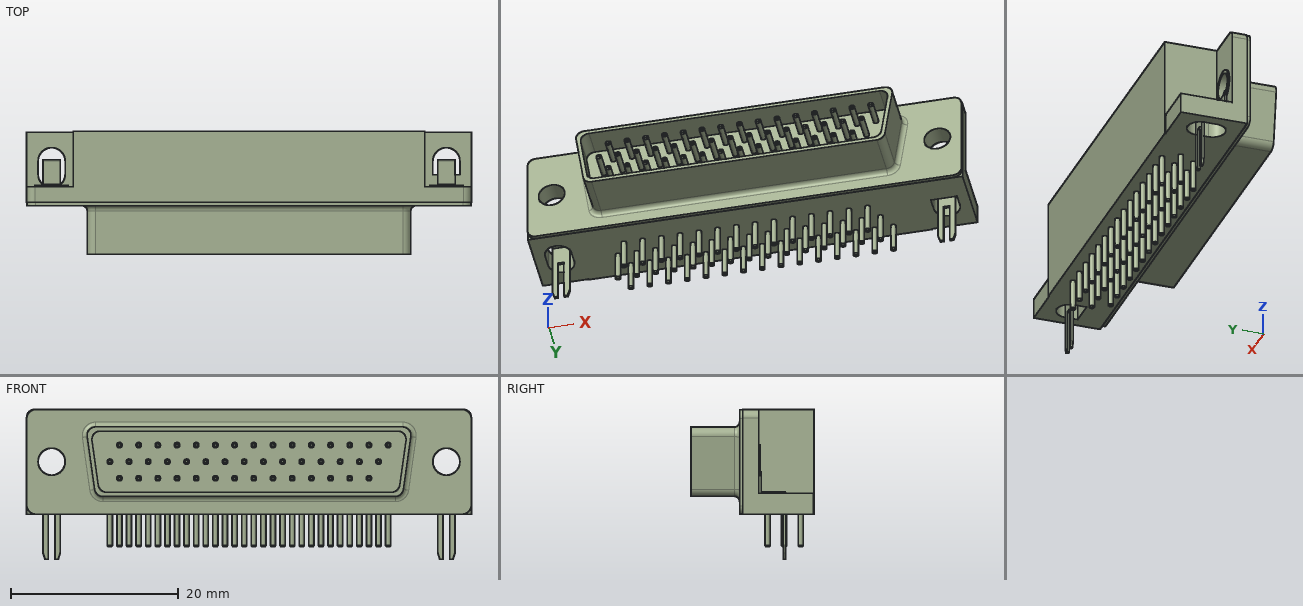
import cadquery as cq
import math


select_margin = 0.01

width = 53.1
height = 12.55
sheet_thickness = 0.4
sheet_inset = 0.05
corner_radius = 1.0
wall_back = 2.3
block_back = 8.9
ear_back = 8.8
block_width = 42.0
ear_height = 2.56

hole_x = 23.55
hole_z = 6.3
hole_diameter = 3.2

slot_width = 3.2
slot_back = 6.92
left_slot_front = 2.16
right_slot_front = 3.72

shell_length = 5.8
shell_height = 8.3
shell_top_half_width = 19.47
shell_side_angle = 8.0
shell_corner_radius = 1.0
shell_wall = 0.5
shell_floor_y = -2.4
shell_base_fillet = 0.6

pin_diameter = 0.64
pin_pitch = 2.29
row_pitch = 1.98
pin_chamfer = 0.15
pin_tip_y = -5.6
tail_tip_z = -3.85
tail_middle_y = 5.33
embed = 1.0
row_counts = (15, 15, 14)
row_shift = pin_pitch / 4
first_pin_x = row_shift - (row_counts[0] - 1) / 2 * pin_pitch

lock_sheet = 0.3
lock_width = 2.1
tine_gap = 0.75
tine_tip_z = -5.35
tine_chamfer_x = 0.25
tine_chamfer_z = 0.8
lock_back = 5.5
lock_rise = 0.15
collar_diameter = 4.0
collar_thickness = 0.16


def box(x0, x1, y0, y1, z0, z1):
    return cq.Workplane("XY").box(x1 - x0, y1 - y0, z1 - z0, centered=False).translate((x0, y0, z0))


def cylinder_y(x, z, diameter, y0, y1):
    solid = cq.Solid.makeCylinder(diameter / 2, y1 - y0, cq.Vector(x, y0, z), cq.Vector(0, 1, 0))
    return cq.Workplane(obj=solid)


def make_housing():
    half = width / 2
    wall = box(-half, half, sheet_thickness, wall_back, 0, height)
    wall = wall.edges("|Y and >Z").fillet(corner_radius)
    block = box(-block_width / 2, block_width / 2, sheet_thickness, block_back, 0, height)
    ears = box(-half, half, sheet_thickness, ear_back, 0, ear_height)
    edge = half - sheet_inset
    sheet = box(-edge, edge, 0, sheet_thickness, sheet_inset, height - sheet_inset)
    sheet = sheet.edges("|Y").fillet(corner_radius)
    return wall.union(block).union(ears).union(sheet)


def make_slot(x, front, round_front):
    """Cutter for an ear slot with a round back end and a round or square front end."""
    radius = slot_width / 2
    back_centre = slot_back - radius
    front_centre = front + radius if round_front else front
    slot = box(x - radius, x + radius, front_centre, back_centre, 0, ear_height)
    centres = (front_centre, back_centre) if round_front else (back_centre,)
    for y in centres:
        slot = slot.union(cq.Workplane("XY").center(x, y).circle(radius).extrude(ear_height))
    return slot


def shell_prism(inset, y0, y1):
    """Rounded D outline, moved inwards by inset, extruded from y0 to y1."""
    angle = math.radians(shell_side_angle)
    half_height = shell_height / 2 - inset
    side_shift = inset / math.cos(angle)
    mid_half_width = shell_top_half_width - shell_height / 2 * math.tan(angle) - side_shift
    top = mid_half_width + half_height * math.tan(angle)
    bottom = mid_half_width - half_height * math.tan(angle)
    outline = [(-top, half_height), (top, half_height), (bottom, -half_height), (-bottom, -half_height)]
    prism = cq.Workplane("XZ", origin=(0, y1, hole_z)).polyline(outline).close().extrude(y1 - y0)
    return prism.edges("|Y").fillet(shell_corner_radius)


def add_shell(body):
    body = body.union(shell_prism(0, -shell_length, sheet_thickness / 2))
    margin = 2 * shell_base_fillet
    half = shell_top_half_width + margin
    low = hole_z - shell_height / 2 - margin
    high = hole_z + shell_height / 2 + margin
    near_corner = (-half, -select_margin, low)
    far_corner = (half, select_margin, high)
    base = cq.selectors.BoxSelector(near_corner, far_corner, boundingbox=True)
    body = body.edges(base).fillet(shell_base_fillet)
    return body.cut(shell_prism(shell_wall, -shell_length, shell_floor_y))


def make_pin(length):
    """Chamfered pin with its tip at the origin, running along +Z."""
    pin = cq.Workplane("XY").circle(pin_diameter / 2).extrude(length)
    return pin.faces("<Z").chamfer(pin_chamfer)


def add_contacts(body):
    contact = make_pin(embed + shell_floor_y - pin_tip_y).rotate((0, 0, 0), (1, 0, 0), -90)
    tail = make_pin(embed - tail_tip_z)
    for row, count in enumerate(row_counts):
        row_offset = -pin_pitch / 2 if row == 1 else 0
        z = hole_z + (1 - row) * row_pitch
        tail_y = tail_middle_y + (1 - row) * row_pitch
        for i in range(count):
            x = first_pin_x + row_offset + i * pin_pitch
            body = body.union(contact.translate((x, pin_tip_y, z)))
            body = body.union(tail.translate((x, tail_y, tail_tip_z)))
    return body


def make_lock(x):
    """Bent sheet lock: leg on the wall, arm over the slot, forked tab down to the board."""
    half = lock_width / 2
    arm_top = ear_height + lock_rise
    leg = box(-half, half, wall_back, wall_back + lock_sheet, arm_top - lock_sheet, hole_z)
    arm = box(-half, half, wall_back, lock_back, arm_top - lock_sheet, arm_top)
    outline = [
        (-half, arm_top), (half, arm_top), (half, tine_tip_z + tine_chamfer_z),
        (half - tine_chamfer_x, tine_tip_z), (tine_gap / 2, tine_tip_z), (tine_gap / 2, 0),
        (-tine_gap / 2, 0), (-tine_gap / 2, tine_tip_z), (tine_chamfer_x - half, tine_tip_z),
        (-half, tine_tip_z + tine_chamfer_z),
    ]
    tab = cq.Workplane("XZ", origin=(0, lock_back, 0)).polyline(outline).close().extrude(lock_sheet)
    bend = arm.union(tab).faces(">Y").edges(">Z").fillet(lock_rise)
    lock = leg.union(bend)
    collar = cylinder_y(0, hole_z, collar_diameter, wall_back, wall_back + collar_thickness)
    return lock.union(collar).translate((x, 0, 0))


body = add_shell(make_housing())
body = body.cut(make_slot(-hole_x, left_slot_front, True))
body = body.cut(make_slot(hole_x, right_slot_front, False))
for x in (-hole_x, hole_x):
    body = body.union(make_lock(x))
    body = body.cut(cylinder_y(x, hole_z, hole_diameter, 0, block_back))
result = add_contacts(body)